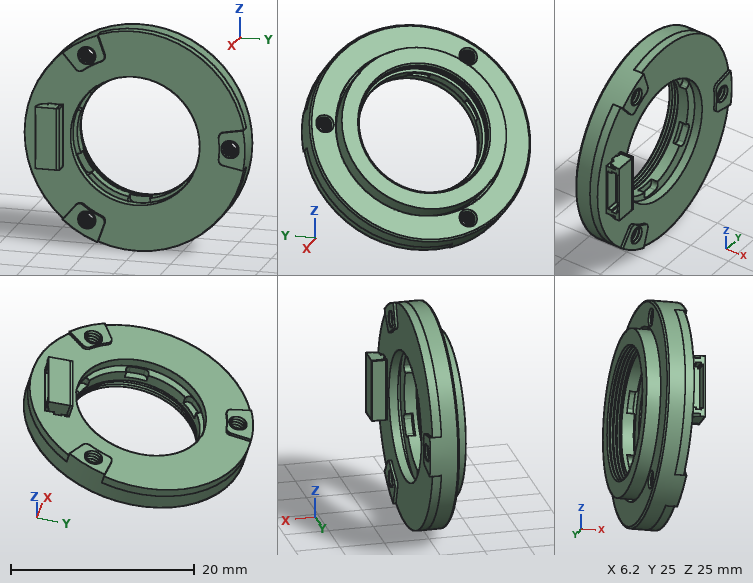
import cadquery as cq
import math


FLANGE_X = 1.5
CAVITY_X = 2.85
SEAT_X = 3.5
BOARD_REAR_X = 4.5
PAD_X = 4.8

OUTER_D = 25.0
RIM_CHAMFER = 0.2
BOSS_D = 18.6
GROOVE_D = 19.2
GROOVE_DEPTH = 0.8
LIP_BORE_D = 14.0
CAVITY_D = 17.8

LENS_THREAD_MAJOR_D = 15.0
LENS_THREAD_MINOR_D = 14.6
LENS_THREAD_TURNS = 4

NOTCH_COUNT = 6
NOTCH_FIRST_ANGLE = 30.0
NOTCH_HALF_ANGLE = 10.0
NOTCH_FRONT_X = 2.0
NOTCH_D = 15.6
NOTCH_CORNER_R = 0.5

PAD_COUNT = 3
PAD_HALF_ANGLE = 10.5
PAD_INNER_R = 9.6
PAD_CORNER_R = 0.6
SCREW_CIRCLE_R = 10.8
SCREW_MAJOR_D = 2.0
SCREW_MINOR_D = 1.6
SCREW_PITCH = 0.4

BOARD_BORE_D = 14.6

CONNECTOR_LENGTH = 7.0
CONNECTOR_REAR_X = 6.2
CONNECTOR_MOUTH_Y = -10.8
CONNECTOR_BACK_Y = -8.1
LOCK_BAR_WIDTH = 0.3
CONTACT_HEIGHT = 0.15
CONTACT_WIDTH = 0.45
UNDERCUT_END_Y = -8.95

SLOT_X0 = 4.7
SLOT_X1 = 5.95
SLOT_LENGTH = 5.0
SLOT_KEY_X0 = 5.18
SLOT_KEY_X1 = 5.78
SLOT_KEY_LENGTH = 5.4
SLOT_DEPTH = 1.5

END_POCKET_DEPTH = 0.3
END_POCKET_HEIGHT = 0.3
END_POCKET_BACK_Y = -9.8
END_RAMP_Y = -10.45
END_RAMP_X = 5.65


def spin(shape, angle):
    """Turn a shape about the X axis."""
    return shape.rotate((0, 0, 0), (1, 0, 0), angle)


def rod(x0, x1, diameter):
    return cq.Workplane("YZ").workplane(offset=x0).circle(diameter / 2).extrude(x1 - x0)


def tube(x0, x1, outer_d, inner_d):
    return rod(x0, x1, outer_d).cut(rod(x0, x1, inner_d))


def block(x0, x1, y0, y1, length):
    """Box centred on Z = 0."""
    return cq.Workplane("XY").box(x1 - x0, y1 - y0, length, centered=(False, False, True)).translate((x0, y0, 0))


def sector(x0, x1, inner_r, outer_r, half_angle):
    """Ring sector around the +Y direction, with radial sides."""
    angle = math.radians(half_angle)
    c, s = math.cos(angle), math.sin(angle)
    return (
        cq.Workplane("YZ")
        .workplane(offset=x0)
        .moveTo(inner_r * c, -inner_r * s)
        .lineTo(outer_r * c, -outer_r * s)
        .threePointArc((outer_r, 0), (outer_r * c, outer_r * s))
        .lineTo(inner_r * c, inner_r * s)
        .threePointArc((inner_r, 0), (inner_r * c, -inner_r * s))
        .close()
        .extrude(x1 - x0)
    )


def thread_cutter(x0, x1, minor_d, major_d, turns):
    """Rod about the X axis with V ridges, which cuts a bore with ring grooves."""
    pitch = (x1 - x0) / turns
    outline = cq.Workplane("XY").moveTo(x0, 0).lineTo(x0, major_d / 2)
    for turn in range(turns):
        start = x0 + turn * pitch
        outline = outline.lineTo(start + pitch / 2, minor_d / 2).lineTo(start + pitch, major_d / 2)
    return outline.lineTo(x1, 0).close().revolve(360, (0, 0, 0), (1, 0, 0))


def make_pad_zones():
    """Sectors that stay part of the housing, reaching past the rim so that they cut cleanly."""
    pad = sector(SEAT_X, PAD_X, PAD_INNER_R, OUTER_D, PAD_HALF_ANGLE)
    pad = pad.edges("|X").edges(
        cq.selectors.BoxSelector((0, 0, -PAD_INNER_R), (PAD_X, PAD_INNER_R, PAD_INNER_R))
    ).fillet(PAD_CORNER_R)
    return [spin(pad, i * 360 / PAD_COUNT) for i in range(PAD_COUNT)]


def make_housing(pad_zones):
    flange = rod(FLANGE_X, PAD_X, OUTER_D).faces("<X").chamfer(RIM_CHAMFER)
    flange = flange.cut(tube(FLANGE_X, FLANGE_X + GROOVE_DEPTH, GROOVE_D, BOSS_D))
    housing = rod(0, FLANGE_X, BOSS_D).union(flange)

    board_space = rod(SEAT_X, PAD_X, 2 * OUTER_D)
    for zone in pad_zones:
        board_space = board_space.cut(zone)
    housing = housing.cut(board_space)

    housing = housing.cut(
        thread_cutter(0, FLANGE_X, LENS_THREAD_MINOR_D, LENS_THREAD_MAJOR_D, LENS_THREAD_TURNS)
    )
    housing = housing.cut(rod(FLANGE_X, CAVITY_X, LIP_BORE_D))
    housing = housing.cut(rod(CAVITY_X, SEAT_X, CAVITY_D))

    notch_root_r = LIP_BORE_D / 2 - NOTCH_CORNER_R
    notch = sector(NOTCH_FRONT_X, CAVITY_X, notch_root_r, NOTCH_D / 2, NOTCH_HALF_ANGLE)
    notch = notch.edges("|X").edges(
        cq.selectors.BoxSelector((0, LIP_BORE_D / 2, -NOTCH_D), (PAD_X, NOTCH_D, NOTCH_D))
    ).fillet(NOTCH_CORNER_R)
    for i in range(NOTCH_COUNT):
        housing = housing.cut(spin(notch, NOTCH_FIRST_ANGLE + i * 360 / NOTCH_COUNT))

    screw_turns = math.ceil((PAD_X - FLANGE_X) / SCREW_PITCH)
    screw_end_x = FLANGE_X + screw_turns * SCREW_PITCH
    screw = thread_cutter(FLANGE_X, screw_end_x, SCREW_MINOR_D, SCREW_MAJOR_D, screw_turns)
    screw = screw.translate((0, SCREW_CIRCLE_R, 0))
    for i in range(PAD_COUNT):
        housing = housing.cut(spin(screw, i * 360 / PAD_COUNT))
    return housing


def make_board(pad_zones):
    board = tube(SEAT_X, BOARD_REAR_X, OUTER_D, BOARD_BORE_D)
    for zone in pad_zones:
        board = board.cut(zone)
    return board


def make_connector():
    back_y = CONNECTOR_BACK_Y - LOCK_BAR_WIDTH
    connector = block(BOARD_REAR_X, CONNECTOR_REAR_X, CONNECTOR_MOUTH_Y, back_y, CONNECTOR_LENGTH)

    contact_top_x = BOARD_REAR_X + CONTACT_HEIGHT
    connector = connector.cut(block(BOARD_REAR_X, contact_top_x, UNDERCUT_END_Y, back_y, CONNECTOR_LENGTH))

    slot_end_y = CONNECTOR_MOUTH_Y + SLOT_DEPTH
    connector = connector.cut(block(SLOT_X0, SLOT_X1, CONNECTOR_MOUTH_Y, slot_end_y, SLOT_LENGTH))
    connector = connector.cut(block(SLOT_KEY_X0, SLOT_KEY_X1, CONNECTOR_MOUTH_Y, slot_end_y, SLOT_KEY_LENGTH))

    pocket_top_x = BOARD_REAR_X + END_POCKET_HEIGHT
    pocket = (
        cq.Workplane("XY")
        .workplane(offset=CONNECTOR_LENGTH / 2 - END_POCKET_DEPTH)
        .polyline([
            (BOARD_REAR_X, CONNECTOR_MOUTH_Y),
            (END_RAMP_X, CONNECTOR_MOUTH_Y),
            (pocket_top_x, END_RAMP_Y),
            (pocket_top_x, END_POCKET_BACK_Y),
            (BOARD_REAR_X, END_POCKET_BACK_Y),
        ])
        .close()
        .extrude(END_POCKET_DEPTH)
    )
    return connector.cut(pocket).cut(pocket.mirror("XY"))


def make_lock_bar():
    return block(
        BOARD_REAR_X + CONTACT_HEIGHT,
        CONNECTOR_REAR_X,
        CONNECTOR_BACK_Y - LOCK_BAR_WIDTH,
        CONNECTOR_BACK_Y,
        CONNECTOR_LENGTH,
    )


def make_contact_strip():
    return block(
        BOARD_REAR_X,
        BOARD_REAR_X + CONTACT_HEIGHT,
        CONNECTOR_BACK_Y - CONTACT_WIDTH,
        CONNECTOR_BACK_Y,
        CONNECTOR_LENGTH,
    )


pad_zones = make_pad_zones()
housing = make_housing(pad_zones)
board = make_board(pad_zones)
connector = make_connector()
lock_bar = make_lock_bar()
contact_strip = make_contact_strip()

result = cq.Compound.makeCompound([
    housing.val(),
    board.val(),
    connector.val(),
    lock_bar.val(),
    contact_strip.val(),
])